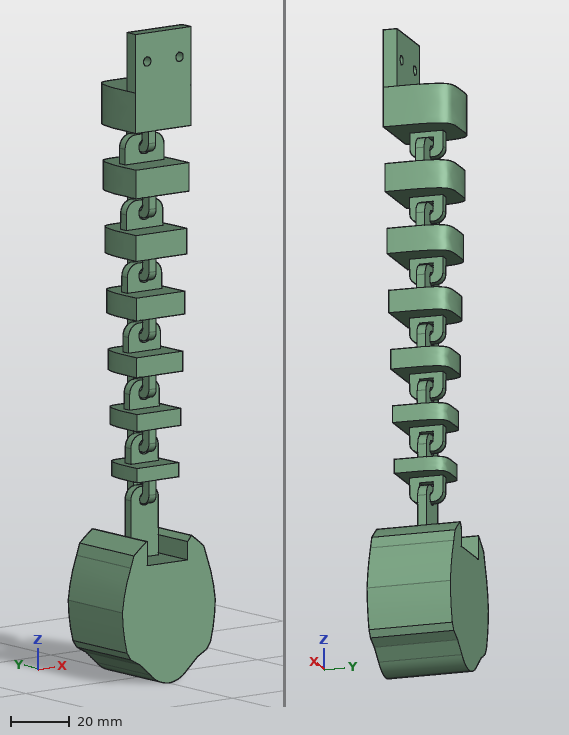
import cadquery as cq

OVERALL_HEIGHT = 225.0
LINK_COUNT = 6
SIZE_STEP = 1.0
PLATE_GAP = 12.8

TONGUE_THICKNESS = 3.1
LOWER_TONGUE_WIDTH = 12.0
LOWER_TONGUE_LENGTH = 9.0
LOWER_TONGUE_RADIUS = 3.4
UPPER_TONGUE_LENGTH = 10.0
UPPER_TONGUE_RADIUS = 4.5
EYE_DIAMETER = 5.0
EYE_FROM_END = 4.5

BRACKET_SIZE = 23.8
BRACKET_HEIGHT = 34.2
BRACKET_BLOCK_HEIGHT = 14.0
UPRIGHT_THICKNESS = 5.0
SCREW_HOLE_DIAMETER = 3.1
SCREW_HOLE_SPACING = 14.0
SCREW_HOLE_FROM_TOP = 10.0
BRACKET_TONGUE_OFFSET = -0.2

FIRST_PLATE_SIZE = BRACKET_SIZE - SIZE_STEP
FIRST_PLATE_THICKNESS = 10.0
UPPER_TONGUE_INSET = 6.0

HEAD_DEPTH = 30.0
HEAD_HALF_WIDTH = 20.0
HEAD_TONGUE_TOP = 66.1
HEAD_EYE_DIAMETER = 4.3
HEAD_EYE_FROM_END = 4.5
SHELF_HEIGHT = 41.6
SLOT_LEFT = -9.2
SLOT_RIGHT = 8.0
SLOT_RIGHT_CHAMFER = 2.0
TIP_X = 9.7
TIP_Z = 50.0


def plate(size, bottom, thickness):
    """Plate with a square front edge, and sides that round over into a bowed back edge."""
    half = size / 2
    side_x, side_y = 0.96 * half, 0.35 * half
    corner_x, corner_y = 0.78 * half, 0.86 * half
    return (
        cq.Workplane("XY", origin=(0, 0, bottom))
        .moveTo(half, -half)
        .spline(
            [
                (side_x, side_y),
                (corner_x, corner_y),
                (0, half),
                (-corner_x, corner_y),
                (-side_x, side_y),
                (-half, -half),
            ],
            tangents=[(0, 1), (0, -1)],
            includeCurrent=True,
        )
        .close()
        .extrude(thickness)
    )


def upper_tongue(width, bottom, top, eye_diameter, eye_from_end):
    """Tongue standing in the XZ plane with rounded top corners and a round eye along Y."""
    blade = (
        cq.Workplane("XY", origin=(0, 0, bottom))
        .box(width, TONGUE_THICKNESS, top - bottom, centered=(True, True, False))
        .edges("|Y and >Z")
        .fillet(UPPER_TONGUE_RADIUS)
    )
    eye = (
        cq.Workplane("XZ", origin=(0, 0, top - eye_from_end))
        .circle(eye_diameter / 2)
        .extrude(TONGUE_THICKNESS, both=True)
    )
    return blade.cut(eye)


def lower_tongue(top, x_offset):
    """Tongue hanging in the YZ plane with rounded bottom corners and an arched eye along X."""
    bottom = top - LOWER_TONGUE_LENGTH
    blade = (
        cq.Workplane("XY", origin=(x_offset, 0, bottom))
        .box(TONGUE_THICKNESS, LOWER_TONGUE_WIDTH, LOWER_TONGUE_LENGTH, centered=(True, True, False))
        .edges("|X and <Z")
        .fillet(LOWER_TONGUE_RADIUS)
    )
    eye_radius = EYE_DIAMETER / 2
    eye = (
        cq.Workplane("YZ", origin=(0, 0, bottom + EYE_FROM_END))
        .moveTo(-eye_radius, eye_radius)
        .lineTo(-eye_radius, 0)
        .threePointArc((0, -eye_radius), (eye_radius, 0))
        .lineTo(eye_radius, eye_radius)
        .close()
        .extrude(TONGUE_THICKNESS, both=True)
    )
    return blade.cut(eye)


def make_bracket():
    """Top body: block, upright wall with two screw holes, and a lower tongue."""
    bottom = OVERALL_HEIGHT - BRACKET_HEIGHT
    block = plate(BRACKET_SIZE, bottom, BRACKET_BLOCK_HEIGHT)
    upright = cq.Workplane("XY", origin=(0, -BRACKET_SIZE / 2, bottom + BRACKET_BLOCK_HEIGHT)).box(
        BRACKET_SIZE, UPRIGHT_THICKNESS, BRACKET_HEIGHT - BRACKET_BLOCK_HEIGHT, centered=(True, False, False)
    )
    screw_holes = (
        cq.Workplane("XZ", origin=(0, 0, OVERALL_HEIGHT - SCREW_HOLE_FROM_TOP))
        .pushPoints([(-SCREW_HOLE_SPACING / 2, 0), (SCREW_HOLE_SPACING / 2, 0)])
        .circle(SCREW_HOLE_DIAMETER / 2)
        .extrude(BRACKET_SIZE)
    )
    tongue = lower_tongue(bottom, BRACKET_TONGUE_OFFSET)
    return block.union(upright.cut(screw_holes)).union(tongue)


def make_link(size, thickness, top):
    """One chain link: a plate with a tongue above it and a crossed tongue below it."""
    bottom = top - thickness
    return (
        plate(size, bottom, thickness)
        .union(upper_tongue(size - UPPER_TONGUE_INSET, top, top + UPPER_TONGUE_LENGTH,
                            EYE_DIAMETER, EYE_FROM_END))
        .union(lower_tongue(bottom, 0))
    )


def make_links():
    """All links from the top down, each smaller and thinner than the one above."""
    links = []
    top = OVERALL_HEIGHT - BRACKET_HEIGHT - PLATE_GAP
    for i in range(LINK_COUNT):
        thickness = FIRST_PLATE_THICKNESS - i * SIZE_STEP
        links.append(make_link(FIRST_PLATE_SIZE - i * SIZE_STEP, thickness, top))
        top -= thickness + PLATE_GAP
    return links


def make_head():
    """Bottom body: symmetrical head outline with a slotted top and a tall tongue."""
    tip = (-TIP_X, TIP_Z)
    shoulder = (-15.0, 45.7)
    temple = (-16.5, SHELF_HEIGHT)
    widest = (-HEAD_HALF_WIDTH, 26.5)
    cheek = (-18.0, 12.4)
    jaw_corner = (-16.5, 10.0)
    jaw_hollow = (-12.4, 7.6)
    chin_start = (-7.9, 3.5)
    outline = (
        cq.Workplane("XZ", origin=(0, HEAD_DEPTH / 2, 0))
        .moveTo(*tip)
        .threePointArc((-12.4, 48.0), shoulder)
        .lineTo(*temple)
        .threePointArc((-19.0, 33.5), widest)
        .threePointArc((-19.3, 18.7), cheek)
        .lineTo(*jaw_corner)
        .lineTo(*jaw_hollow)
        .lineTo(*chin_start)
        .threePointArc((-5.0, 1.3), (0, 0))
        .lineTo(0, TIP_Z)
        .close()
        .mirrorY()
        .extrude(HEAD_DEPTH)
    )
    slot = (
        cq.Workplane("XZ", origin=(0, HEAD_DEPTH / 2, 0))
        .moveTo(SLOT_LEFT, SHELF_HEIGHT)
        .lineTo(SLOT_RIGHT, SHELF_HEIGHT)
        .lineTo(SLOT_RIGHT, TIP_Z - SLOT_RIGHT_CHAMFER)
        .lineTo(TIP_X, TIP_Z)
        .lineTo(SLOT_LEFT, TIP_Z)
        .close()
        .extrude(HEAD_DEPTH)
    )
    tongue = upper_tongue(LOWER_TONGUE_WIDTH, SHELF_HEIGHT, HEAD_TONGUE_TOP,
                          HEAD_EYE_DIAMETER, HEAD_EYE_FROM_END)
    return outline.cut(slot).union(tongue)


bracket = make_bracket()
links = make_links()
head = make_head()

result = cq.Compound.makeCompound([bracket.val(), *[link.val() for link in links], head.val()])